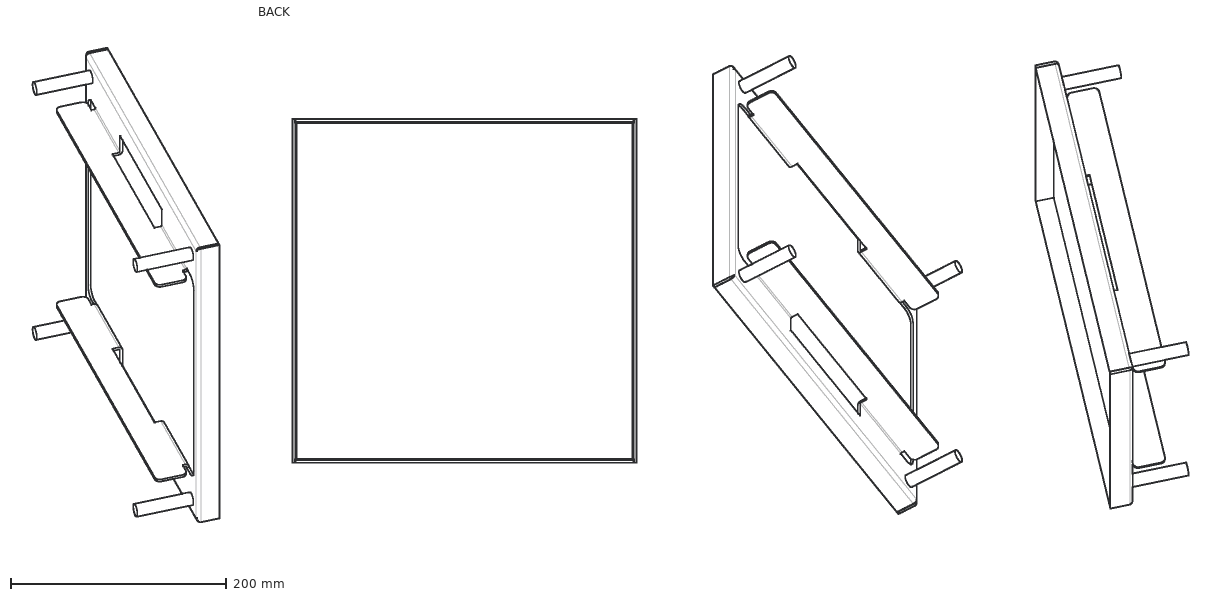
import cadquery as cq

TRAY_SIDE = 320.0
TRAY_DEPTH = 22.0
SHEET = 2.5
INNER_BEND_RADIUS = 1.3
OUTER_BEND_RADIUS = INNER_BEND_RADIUS + SHEET
CORNER_GAP = 0.3

PIN_DIAMETER = 12.5
PIN_LENGTH = 55.0
PIN_INSET = 16.5

WINDOW_WIDTH = 301.5
WINDOW_HEIGHT = 233.0
WINDOW_CORNER_RADIUS = 11.0
EXTENSION_WIDTH = 119.5
EXTENSION_SPAN = 269.5

FLANGE_LENGTH = 288.5
FLANGE_REACH = 34.5
FLANGE_CORNER_RADIUS = 5.0
ROOT_LENGTH = 260.0
ROOT_REACH = OUTER_BEND_RADIUS
NOTCH_DEPTH = 7.5

PLATE_SIDE = TRAY_SIDE - 2 * OUTER_BEND_RADIUS
PLATE_THICKNESS = SHEET

HALF_SIDE = TRAY_SIDE / 2
HALF_INSIDE = HALF_SIDE - SHEET


def block(x_range, y_range, z_range):
    """Box between the given limits along each axis."""
    size = [high - low for low, high in (x_range, y_range, z_range)]
    corner = (x_range[0], y_range[0], z_range[0])
    return cq.Workplane("XY").box(*size, centered=False).translate(corner)


def rounded_block(half_side, front, bend_radius):
    """Square block reaching the back of the tray, with its front edges rounded."""
    limits = (-half_side, half_side)
    return block(limits, (front, TRAY_DEPTH), limits).faces("<Y").edges().fillet(bend_radius)


def make_tray_shell():
    outer = rounded_block(HALF_SIDE, 0, OUTER_BEND_RADIUS)
    inner = rounded_block(HALF_INSIDE, SHEET, INNER_BEND_RADIUS)
    shell = outer.cut(inner)

    half_flat = HALF_SIDE - OUTER_BEND_RADIUS
    for x_sign in (-1, 1):
        for z_sign in (-1, 1):
            slit_x = sorted((x_sign * HALF_INSIDE, x_sign * (HALF_INSIDE - CORNER_GAP)))
            slit_z = sorted((z_sign * HALF_SIDE, z_sign * half_flat))
            shell = shell.cut(block(slit_x, (0, TRAY_DEPTH), slit_z))
    return shell


def make_window():
    """Cutter for the rounded window and its extensions."""
    opening = (
        cq.Workplane("XY")
        .box(WINDOW_WIDTH, SHEET, WINDOW_HEIGHT)
        .edges("|Y")
        .fillet(WINDOW_CORNER_RADIUS)
    )
    extensions = cq.Workplane("XY").box(EXTENSION_WIDTH, SHEET, EXTENSION_SPAN)
    return opening.union(extensions).translate((0, SHEET / 2, 0))


def make_pins():
    spacing = TRAY_SIDE - 2 * PIN_INSET
    return (
        cq.Workplane("XZ")
        .rect(spacing, spacing, forConstruction=True)
        .vertices()
        .circle(PIN_DIAMETER / 2)
        .extrude(PIN_LENGTH)
    )


def make_top_flange():
    """Bend and flange at the top of the window, notched below the window extension."""
    bend_z = WINDOW_HEIGHT / 2
    upper_z = bend_z - INNER_BEND_RADIUS
    lower_z = bend_z - OUTER_BEND_RADIUS
    half_length = FLANGE_LENGTH / 2
    half_root = ROOT_LENGTH / 2
    half_notch = EXTENSION_WIDTH / 2

    bend_axis = (-INNER_BEND_RADIUS, bend_z)
    bend_block = block((-half_root, half_root), (-INNER_BEND_RADIUS, SHEET), (lower_z, bend_z))
    ring = (
        cq.Workplane("YZ", origin=(-half_root, 0, 0))
        .center(*bend_axis)
        .circle(OUTER_BEND_RADIUS)
        .circle(INNER_BEND_RADIUS)
        .extrude(ROOT_LENGTH)
    )
    bend = ring.intersect(bend_block)

    root = block((-half_root, half_root), (-ROOT_REACH, -INNER_BEND_RADIUS), (lower_z, upper_z))
    leaf = (
        block((-half_length, half_length), (-FLANGE_REACH, -ROOT_REACH), (lower_z, upper_z))
        .edges("|Z")
        .fillet(FLANGE_CORNER_RADIUS)
    )
    notch = block((-half_notch, half_notch), (-NOTCH_DEPTH, SHEET), (lower_z, bend_z))
    return leaf.union(root).union(bend).cut(notch)


def make_tray():
    top_flange = make_top_flange()
    bottom_flange = top_flange.mirror("XY")
    tray = make_tray_shell().cut(make_window())
    return tray.union(make_pins()).union(top_flange).union(bottom_flange)


def make_backing_plate():
    half_plate = PLATE_SIDE / 2
    limits = (-half_plate, half_plate)
    return block(limits, (SHEET, SHEET + PLATE_THICKNESS), limits)


tray = make_tray()
backing_plate = make_backing_plate()

result = cq.Compound.makeCompound([tray.solids().val(), backing_plate.val()])